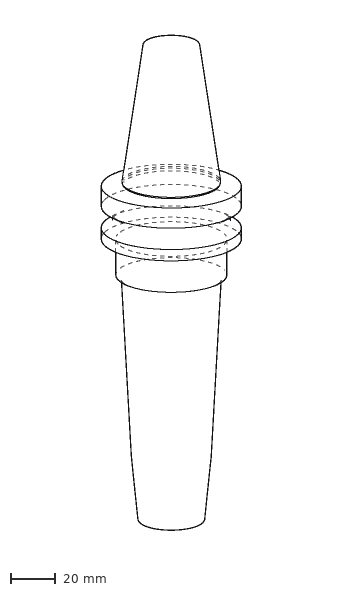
import cadquery as cq
import math


gauge_radius = 44.45 / 2
taper_length = 65.4
taper_rate = 7 / 24
taper_end_radius = gauge_radius - taper_length * taper_rate / 2
taper_end_fillet = 1.0

flange_radius = 63 / 2
flange_top_z = -2.0
flange_bottom_z = -27.0

relief_depth = 0.3
relief_entry_length = 0.7
relief_face_depth = 0.2
relief_face_reach = 1.3
relief_corner_radius = 0.8

groove_center_z = -16.6
groove_root_radius = 53 / 2
groove_root_half_width = 2.15
groove_wall_angle = 30.0
groove_root_fillet = 1.0

collar_radius = 50 / 2
collar_bottom_z = -44.0
shoulder_angle = 30.0
shoulder_fillet = 1.8

body_top_radius = 22.5
nose_z = -160.0
nose_top_z = -129.7
nose_top_radius = 18.0
nose_end_radius = 15.0
nose_fillet = 1.0

relief_radius = gauge_radius - relief_depth
relief_floor_z = flange_top_z - relief_face_depth
groove_wall_height = (flange_radius - groove_root_radius) * math.tan(math.radians(groove_wall_angle))
groove_mouth_half_width = groove_root_half_width + groove_wall_height
groove_root_top_z = groove_center_z + groove_root_half_width
groove_root_bottom_z = groove_center_z - groove_root_half_width
shoulder_height = (collar_radius - body_top_radius) * math.tan(math.radians(shoulder_angle))
body_top_z = collar_bottom_z - shoulder_height


def make_holder():
    """Revolve the half outline, which runs from the shank end to the nose."""
    half_outline = (
        cq.Workplane("XZ")
        .moveTo(0, taper_length)
        .lineTo(taper_end_radius, taper_length)
        .lineTo(gauge_radius, 0)
        .lineTo(relief_radius, -relief_entry_length)
        .lineTo(relief_radius, relief_floor_z + relief_corner_radius)
        .radiusArc((relief_radius + relief_corner_radius, relief_floor_z), -relief_corner_radius)
        .lineTo(gauge_radius + relief_face_reach, flange_top_z)
        .lineTo(flange_radius, flange_top_z)
        .lineTo(flange_radius, groove_center_z + groove_mouth_half_width)
        .lineTo(groove_root_radius, groove_root_top_z)
        .lineTo(groove_root_radius, groove_root_bottom_z)
        .lineTo(flange_radius, groove_center_z - groove_mouth_half_width)
        .lineTo(flange_radius, flange_bottom_z)
        .lineTo(collar_radius, flange_bottom_z)
        .lineTo(collar_radius, collar_bottom_z)
        .lineTo(body_top_radius, body_top_z)
        .lineTo(nose_top_radius, nose_top_z)
        .lineTo(nose_end_radius, nose_z)
        .lineTo(0, nose_z)
        .close()
    )
    return half_outline.revolve(360, (0, 0, 0), (0, 1, 0))


def round_edge(body, radius, z, fillet):
    """Fillet the circular edge of the given radius at height z."""
    margin = 0.1
    reach = radius + margin
    box = cq.selectors.BoxSelector(
        (-reach, -reach, z - margin), (reach, reach, z + margin), boundingbox=True
    )
    return body.edges(box).edges("%CIRCLE").fillet(fillet)


result = make_holder()
result = round_edge(result, taper_end_radius, taper_length, taper_end_fillet)
result = round_edge(result, groove_root_radius, groove_root_top_z, groove_root_fillet)
result = round_edge(result, groove_root_radius, groove_root_bottom_z, groove_root_fillet)
result = round_edge(result, body_top_radius, body_top_z, shoulder_fillet)
result = round_edge(result, nose_end_radius, nose_z, nose_fillet)